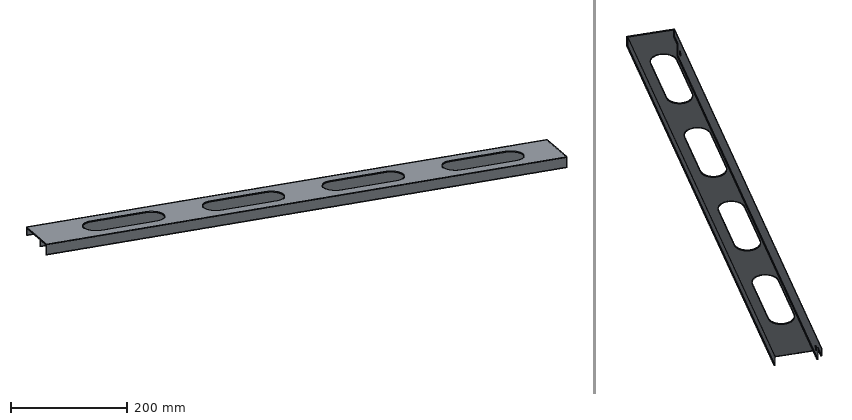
import cadquery as cq

width = 85.0
length = 977.9
thickness = 2.0
deep_flange_height = 40.0
shallow_flange_height = 20.0

end_step_length = 25.0
end_tab_height = 15.0

hole_diameter = 8.5
hole_end_distance = 38.5
hole_depth_below_top = 25.0

slot_count = 4
slot_length = 150.0
slot_width = 46.0
slot_pitch = 225.0
first_slot_end_distance = 138.95

half_width = width / 2
half_length = length / 2


def make_channel():
    """Extrude the sharp-cornered channel section along the full length."""
    section = (
        cq.Workplane("XZ")
        .moveTo(-half_width, 0)
        .lineTo(half_width, 0)
        .lineTo(half_width, -shallow_flange_height)
        .lineTo(half_width - thickness, -shallow_flange_height)
        .lineTo(half_width - thickness, -thickness)
        .lineTo(-half_width + thickness, -thickness)
        .lineTo(-half_width + thickness, -deep_flange_height)
        .lineTo(-half_width, -deep_flange_height)
        .close()
    )
    return section.extrude(half_length, both=True)


def make_end_step(end):
    """Block that shortens the deep flange at one end (+1 or -1 along Y)."""
    step_height = deep_flange_height - end_tab_height
    step_y = end * (half_length - end_step_length / 2)
    step_z = -end_tab_height - step_height / 2
    return (
        cq.Workplane("XY")
        .box(thickness, end_step_length, step_height)
        .translate((-half_width + thickness / 2, step_y, step_z))
    )


def make_flange_holes():
    """Cylinders for the holes through the deep flange only."""
    hole_y = half_length - hole_end_distance
    return (
        cq.Workplane("YZ", origin=(-half_width, 0, 0))
        .pushPoints([(-hole_y, -hole_depth_below_top), (hole_y, -hole_depth_below_top)])
        .circle(hole_diameter / 2)
        .extrude(thickness)
    )


def make_web_slots():
    """Round-ended slots through the web, spaced from the +Y end."""
    first_slot_y = half_length - first_slot_end_distance
    slot_centres = [(0, first_slot_y - index * slot_pitch) for index in range(slot_count)]
    return (
        cq.Workplane("XY")
        .pushPoints(slot_centres)
        .slot2D(slot_length, slot_width, angle=90)
        .extrude(-thickness)
    )


result = make_channel()
for end in (-1, 1):
    result = result.cut(make_end_step(end))
result = result.cut(make_flange_holes())
result = result.cut(make_web_slots())